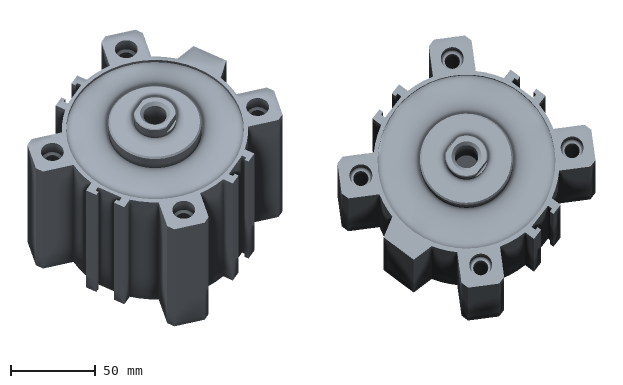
import cadquery as cq
import math

barrel_diameter = 110.0
barrel_height = 92.0
cover_recess_diameter = 105.0
cover_recess_depth = 2.0
half_width = 60.0

lug_width = 25.5
lug_reach = 75.6
lug_chamfer = lug_reach + lug_width / 2 - half_width * math.sqrt(2)
bolt_offset = 44.5
bolt_hole_diameter = 9.0
counterbore_diameter = 13.5
counterbore_depth = 8.6

rail_width = 26.0
slot_width = 16.0
slot_mouth_width = 12.0
slot_depth = 5.5
lip_thickness = 2.6

rib_reach = 66.0
rib_tip_width = 22.3
rib_flank_angle = 15.0

boss_diameter = 55.0
boss_rise = 7.5
boss_chamfer = 1.0

rod_diameter = 25.0
rod_rise = 8.0
rod_length = 50.4
rod_chamfer = 0.5
flat_spacing = 22.0
flat_height = 5.4
socket_diameter = 13.9
socket_depth = 30.2
socket_chamfer = 1.9

boss_top = barrel_height + boss_rise
rod_top = boss_top + rod_rise
rod_bottom = rod_top - rod_length


def make_lug(angle):
    lug = (
        cq.Workplane("XY")
        .box(lug_reach, lug_width, barrel_height, centered=(False, True, False))
        .edges("|Z and >X")
        .chamfer(lug_chamfer)
    )
    return lug.rotate((0, 0, 0), (0, 0, 1), angle)


def make_rail(angle):
    rail = cq.Workplane("XY").box(half_width, rail_width, barrel_height, centered=(False, True, False))
    return rail.rotate((0, 0, 0), (0, 0, 1), angle)


def make_t_slot(angle):
    mouth = (
        cq.Workplane("XY", origin=(half_width - slot_depth, 0, 0))
        .box(slot_depth, slot_mouth_width, barrel_height, centered=(False, True, False))
    )
    chamber = (
        cq.Workplane("XY", origin=(half_width - slot_depth, 0, 0))
        .box(slot_depth - lip_thickness, slot_width, barrel_height, centered=(False, True, False))
    )
    return mouth.union(chamber).rotate((0, 0, 0), (0, 0, 1), angle)


def make_rib():
    tip_half_width = rib_tip_width / 2
    root_half_width = tip_half_width + rib_reach * math.tan(math.radians(rib_flank_angle))
    return (
        cq.Workplane("XY")
        .polyline([
            (-root_half_width, 0),
            (root_half_width, 0),
            (tip_half_width, rib_reach),
            (-tip_half_width, rib_reach),
        ])
        .close()
        .extrude(barrel_height)
    )


def make_boss():
    recess_floor = barrel_height - cover_recess_depth
    return (
        cq.Workplane("XY", origin=(0, 0, recess_floor))
        .circle(boss_diameter / 2)
        .extrude(boss_top - recess_floor)
        .faces(">Z")
        .edges()
        .chamfer(boss_chamfer)
    )


def make_housing():
    lug_angles = (45, 135, 225, 315)
    rail_angles = (0, 180, 270)

    housing = cq.Workplane("XY").circle(barrel_diameter / 2).extrude(barrel_height)
    for angle in lug_angles:
        housing = housing.union(make_lug(angle))
    for angle in rail_angles:
        housing = housing.union(make_rail(angle))
    housing = housing.union(make_rib())

    for angle in rail_angles:
        housing = housing.cut(make_t_slot(angle))

    housing = (
        housing.faces(">Z")
        .workplane(origin=(0, 0, barrel_height))
        .rect(2 * bolt_offset, 2 * bolt_offset, forConstruction=True)
        .vertices()
        .cboreHole(bolt_hole_diameter, counterbore_diameter, counterbore_depth)
    )

    housing = (
        housing.faces(">Z")
        .workplane(origin=(0, 0, barrel_height))
        .circle(cover_recess_diameter / 2)
        .cutBlind(-cover_recess_depth)
    )
    housing = housing.union(make_boss())

    rod_bore = (
        cq.Workplane("XY", origin=(0, 0, rod_bottom))
        .circle(rod_diameter / 2)
        .extrude(rod_length)
    )
    return housing.cut(rod_bore)


def make_rod():
    rod = (
        cq.Workplane("XY", origin=(0, 0, rod_bottom))
        .circle(rod_diameter / 2)
        .extrude(rod_length)
        .faces(">Z")
        .edges()
        .chamfer(rod_chamfer)
    )

    flat_band = (
        cq.Workplane("XY", origin=(0, 0, rod_top - flat_height))
        .rect(2 * rod_diameter, 2 * rod_diameter)
        .rect(flat_spacing, 2 * rod_diameter)
        .extrude(flat_height)
    )
    rod = rod.cut(flat_band)

    return (
        rod.faces(">Z")
        .workplane(origin=(0, 0, rod_top))
        .hole(socket_diameter, socket_depth)
        .faces(">Z")
        .edges("%CIRCLE")
        .edges(cq.selectors.RadiusNthSelector(0))
        .chamfer(socket_chamfer)
    )


housing = make_housing()
rod = make_rod()

result = cq.Compound.makeCompound([housing.val(), rod.val()])